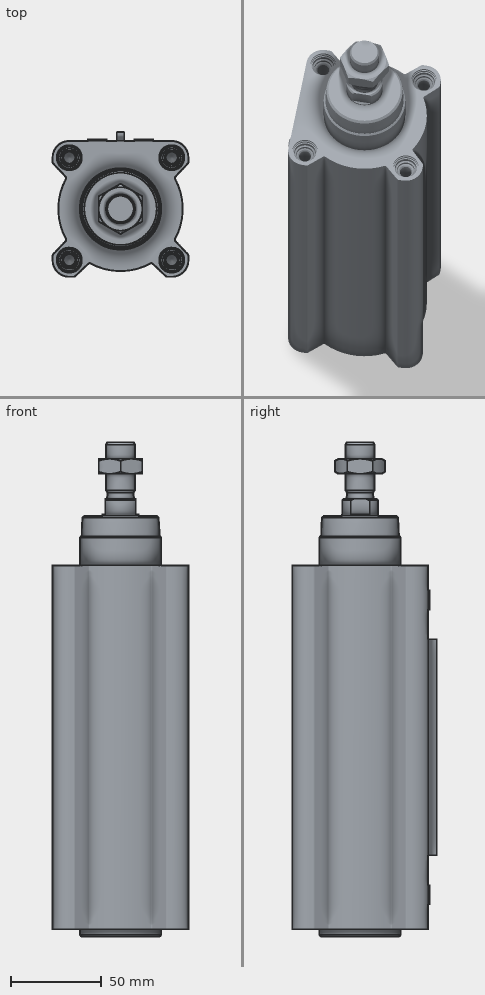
import cadquery as cq
import math

OVERALL_HEIGHT = 273.0
BASE_BOSS_HEIGHT = 4.0
BARREL_TOP = 205.0
COLLAR_TOP = 221.2
NOSE_TOP = 232.5

PROFILE_WIDTH = 75.0
BOLT_SPACING = 56.5
TUBE_DIAMETER = 68.8
LUG_FLAT_END = 25.5
LUG_ROOT = 17.2
LUG_FILLET = 1.5
ROOT_FILLET = 0.8
HALF_WIDTH = PROFILE_WIDTH / 2
HALF_SPACING = BOLT_SPACING / 2
BARREL_MIDDLE = (BASE_BOSS_HEIGHT + BARREL_TOP) / 2
LUG_RADIUS = HALF_WIDTH - HALF_SPACING
TUBE_RADIUS = TUBE_DIAMETER / 2

BOSS_DIAMETER = 45.0
BASE_BOSS_CHAMFER = 1.0
COLLAR_CHAMFER = 0.8
NOSE_BASE_DIAMETER = 43.1
NOSE_TOP_DIAMETER = 42.0
NOSE_BULGE = 0.15
NOSE_CHAMFER = 1.0

RECESS_DIAMETER = 14.0
RECESS_DEPTH = 1.0
UPPER_STEP_DIAMETER = 13.0
UPPER_STEP_DEPTH = 2.2
SOCKET_DIAMETER = 12.0
SOCKET_DEPTH = 4.0
SEAT_DIAMETER = 9.8
SEAT_DEPTH = 5.5
THREAD_DIAMETER = 8.0
THREAD_CORE_DIAMETER = 6.5
HOLE_DEPTH = 21.8
DRILL_POINT_ANGLE = 118.0

RAIL_WIDTH = 4.5
RAIL_FILLET = 0.8
RAIL_HEIGHT = 5.0
RAIL_LENGTH = 119.3
PAD_WIDTH = 10.5
PAD_LENGTH = 10.7
PAD_THICKNESS = 0.8
PAD_OFFSET = 12.8
PAD_END_DISTANCE = 19.0

ROD_DIAMETER = 20.0
ROD_FLATS_WIDTH = 17.0
ROD_FLATS_GAP = 0.8
ROD_SHOULDER = 241.7
ROD_SHOULDER_CHAMFER = 0.8
NECK_DIAMETER = 14.5
NECK_ROOT_DIAMETER = 15.0
NECK_ROOT_TOP = 242.5
NECK_MIDDLE = 244.2
NECK_TOP = 245.2
STUD_DIAMETER = 16.0
STUD_CHAMFER_HEIGHT = 1.5

NUT_ACROSS_FLATS = 24.0
NUT_BOTTOM = 255.5
NUT_HEIGHT = 8.2
NUT_CHAMFER_HEIGHT = 1.0
NUT_ACROSS_CORNERS = NUT_ACROSS_FLATS / math.cos(math.radians(30))


def tube_half_chord(offset):
    """Half the chord of the tube circle at a given offset from its axis."""
    return math.sqrt(TUBE_RADIUS**2 - offset**2)


def barrel_outline():
    """Profile with a flat +Y side, drawn clockwise from its upper left corner."""
    root_far = tube_half_chord(LUG_ROOT)
    lug_mid = HALF_SPACING + LUG_RADIUS * math.sqrt(0.5)
    return (
        cq.Workplane("XY")
        .workplane(offset=BASE_BOSS_HEIGHT)
        .moveTo(-HALF_SPACING, HALF_WIDTH)
        .lineTo(HALF_SPACING, HALF_WIDTH)
        .threePointArc((lug_mid, lug_mid), (HALF_WIDTH, HALF_SPACING))
        .lineTo(HALF_WIDTH, LUG_FLAT_END)
        .lineTo(root_far, LUG_ROOT)
        .threePointArc((TUBE_RADIUS, 0), (root_far, -LUG_ROOT))
        .lineTo(HALF_WIDTH, -LUG_FLAT_END)
        .lineTo(HALF_WIDTH, -HALF_SPACING)
        .threePointArc((lug_mid, -lug_mid), (HALF_SPACING, -HALF_WIDTH))
        .lineTo(LUG_FLAT_END, -HALF_WIDTH)
        .lineTo(LUG_ROOT, -root_far)
        .threePointArc((0, -TUBE_RADIUS), (-LUG_ROOT, -root_far))
        .lineTo(-LUG_FLAT_END, -HALF_WIDTH)
        .lineTo(-HALF_SPACING, -HALF_WIDTH)
        .threePointArc((-lug_mid, -lug_mid), (-HALF_WIDTH, -HALF_SPACING))
        .lineTo(-HALF_WIDTH, -LUG_FLAT_END)
        .lineTo(-root_far, -LUG_ROOT)
        .threePointArc((-TUBE_RADIUS, 0), (-root_far, LUG_ROOT))
        .lineTo(-HALF_WIDTH, LUG_FLAT_END)
        .lineTo(-HALF_WIDTH, HALF_SPACING)
        .threePointArc((-lug_mid, lug_mid), (-HALF_SPACING, HALF_WIDTH))
        .close()
    )


def base_boss():
    """Chamfered disc under the barrel."""
    return (
        cq.Workplane("XY")
        .circle(BOSS_DIAMETER / 2)
        .extrude(BASE_BOSS_HEIGHT)
        .faces("<Z")
        .chamfer(BASE_BOSS_CHAMFER)
    )


def collar_and_nose():
    """Collar on top of the barrel with a slightly narrowing, crowned nose."""
    base_radius = NOSE_BASE_DIAMETER / 2
    top_radius = NOSE_TOP_DIAMETER / 2
    crown = ((base_radius + top_radius) / 2 + NOSE_BULGE, (COLLAR_TOP + NOSE_TOP) / 2)
    return (
        cq.Workplane("XZ")
        .moveTo(0, BARREL_TOP)
        .lineTo(BOSS_DIAMETER / 2, BARREL_TOP)
        .lineTo(BOSS_DIAMETER / 2, COLLAR_TOP - COLLAR_CHAMFER)
        .lineTo(BOSS_DIAMETER / 2 - COLLAR_CHAMFER, COLLAR_TOP)
        .lineTo(base_radius, COLLAR_TOP)
        .threePointArc(crown, (top_radius, NOSE_TOP - NOSE_CHAMFER))
        .lineTo(top_radius - NOSE_CHAMFER, NOSE_TOP)
        .lineTo(0, NOSE_TOP)
        .close()
        .revolve(360, (0, 0, 0), (0, 1, 0))
    )


def corner_hole():
    """Stepped hole cutter with a drill point, its axis on Z and its mouth at the barrel top."""
    thread_chamfer = (THREAD_DIAMETER - THREAD_CORE_DIAMETER) / 2
    core_radius = THREAD_CORE_DIAMETER / 2
    point_length = core_radius / math.tan(math.radians(DRILL_POINT_ANGLE / 2))
    return (
        cq.Workplane("XZ")
        .moveTo(0, BARREL_TOP)
        .lineTo(RECESS_DIAMETER / 2, BARREL_TOP)
        .lineTo(RECESS_DIAMETER / 2, BARREL_TOP - RECESS_DEPTH)
        .lineTo(UPPER_STEP_DIAMETER / 2, BARREL_TOP - RECESS_DEPTH)
        .lineTo(UPPER_STEP_DIAMETER / 2, BARREL_TOP - UPPER_STEP_DEPTH)
        .lineTo(SOCKET_DIAMETER / 2, BARREL_TOP - UPPER_STEP_DEPTH)
        .lineTo(SOCKET_DIAMETER / 2, BARREL_TOP - SOCKET_DEPTH)
        .lineTo(SEAT_DIAMETER / 2, BARREL_TOP - SOCKET_DEPTH)
        .lineTo(SEAT_DIAMETER / 2, BARREL_TOP - SEAT_DEPTH)
        .lineTo(THREAD_DIAMETER / 2, BARREL_TOP - SEAT_DEPTH)
        .lineTo(core_radius, BARREL_TOP - SEAT_DEPTH - thread_chamfer)
        .lineTo(core_radius, BARREL_TOP - HOLE_DEPTH)
        .lineTo(0, BARREL_TOP - HOLE_DEPTH - point_length)
        .close()
        .revolve(360, (0, 0, 0), (0, 1, 0))
    )


def sensor_rail():
    """Narrow rail with rounded outer edges, standing on the flat +Y side."""
    rail = cq.Workplane("XY").box(
        RAIL_WIDTH, RAIL_HEIGHT, RAIL_LENGTH, centered=(True, False, True)
    )
    return rail.faces(">Y").edges("|Z").fillet(RAIL_FILLET).translate((0, HALF_WIDTH, BARREL_MIDDLE))


def marker_pad(x, z):
    """Thin pad on the flat +Y side, centred at x and z."""
    return cq.Workplane("XY").box(
        PAD_WIDTH, PAD_THICKNESS, PAD_LENGTH, centered=(True, False, True)
    ).translate((x, HALF_WIDTH, z))


def flank_corners(across, along):
    """The six profile corners at one end of the lug flanks, mirrored about both axes.

    Each lies at distance across towards an outer side and along parallel to it;
    the +Y side is flat and has none.
    """
    left_and_right = [(x, y) for x in (-across, across) for y in (-along, along)]
    front = [(x, -across) for x in (-along, along)]
    return left_and_right + front


def make_barrel():
    """Extruded profile with both ends of every lug flank rounded."""
    barrel = barrel_outline().extrude(BARREL_TOP - BASE_BOSS_HEIGHT)
    roots = flank_corners(tube_half_chord(LUG_ROOT), LUG_ROOT)
    tips = flank_corners(HALF_WIDTH, LUG_FLAT_END)
    for corners, radius in ((roots, ROOT_FILLET), (tips, LUG_FILLET)):
        for x, y in corners:
            corner_edge = cq.selectors.NearestToPointSelector((x, y, BARREL_MIDDLE))
            barrel = barrel.edges(corner_edge).fillet(radius)
    return barrel


def make_housing():
    body = make_barrel()
    body = body.union(base_boss()).union(collar_and_nose()).union(sensor_rail())
    for x in (-PAD_OFFSET, PAD_OFFSET):
        for z in (BASE_BOSS_HEIGHT + PAD_END_DISTANCE, BARREL_TOP - PAD_END_DISTANCE):
            body = body.union(marker_pad(x, z))
    for x in (-HALF_SPACING, HALF_SPACING):
        for y in (-HALF_SPACING, HALF_SPACING):
            body = body.cut(corner_hole().translate((x, y, 0)))
    return body


def make_piston_rod():
    """Rod standing on the nose, with wrench flats, a relief neck and a threaded stud."""
    rod_radius = ROD_DIAMETER / 2
    neck_radius = NECK_DIAMETER / 2
    stud_radius = STUD_DIAMETER / 2
    rod = (
        cq.Workplane("XZ")
        .moveTo(0, NOSE_TOP)
        .lineTo(rod_radius, NOSE_TOP)
        .lineTo(rod_radius, ROD_SHOULDER - ROD_SHOULDER_CHAMFER)
        .lineTo(rod_radius - ROD_SHOULDER_CHAMFER, ROD_SHOULDER)
        .lineTo(NECK_ROOT_DIAMETER / 2, ROD_SHOULDER)
        .lineTo(NECK_ROOT_DIAMETER / 2, NECK_ROOT_TOP)
        .lineTo(neck_radius, NECK_MIDDLE)
        .lineTo(neck_radius, NECK_TOP)
        .lineTo(stud_radius, NECK_TOP + STUD_CHAMFER_HEIGHT)
        .lineTo(stud_radius, OVERALL_HEIGHT - STUD_CHAMFER_HEIGHT)
        .lineTo(neck_radius, OVERALL_HEIGHT)
        .lineTo(0, OVERALL_HEIGHT)
        .close()
        .revolve(360, (0, 0, 0), (0, 1, 0))
    )
    flats_bottom = NOSE_TOP + ROD_FLATS_GAP
    flats_height = ROD_SHOULDER - flats_bottom
    for side in (-1, 1):
        flat_cut = (
            cq.Workplane("XY")
            .box(ROD_DIAMETER, ROD_DIAMETER, flats_height, centered=(True, True, False))
            .translate((side * (ROD_FLATS_WIDTH + ROD_DIAMETER) / 2, 0, flats_bottom))
        )
        rod = rod.cut(flat_cut)
    return rod


def make_lock_nut():
    """Hexagon nut with corners on the Y axis, chamfered at both faces."""
    hexagon = (
        cq.Workplane("XY")
        .polygon(6, NUT_ACROSS_CORNERS)
        .extrude(NUT_HEIGHT)
        .rotate((0, 0, 0), (0, 0, 1), 30)
    )
    corner_chamfer = (NUT_ACROSS_CORNERS - NUT_ACROSS_FLATS) / 2
    chamfer_envelope = (
        cq.Workplane("XY")
        .circle(NUT_ACROSS_CORNERS / 2)
        .extrude(NUT_HEIGHT)
        .faces("<Z or >Z")
        .chamfer(NUT_CHAMFER_HEIGHT, corner_chamfer)
    )
    bore = cq.Workplane("XY").circle(STUD_DIAMETER / 2).extrude(NUT_HEIGHT)
    return hexagon.intersect(chamfer_envelope).cut(bore).translate((0, 0, NUT_BOTTOM))


housing = make_housing()
piston_rod = make_piston_rod()
lock_nut = make_lock_nut()

result = cq.Compound.makeCompound([housing.val(), piston_rod.val(), lock_nut.val()])